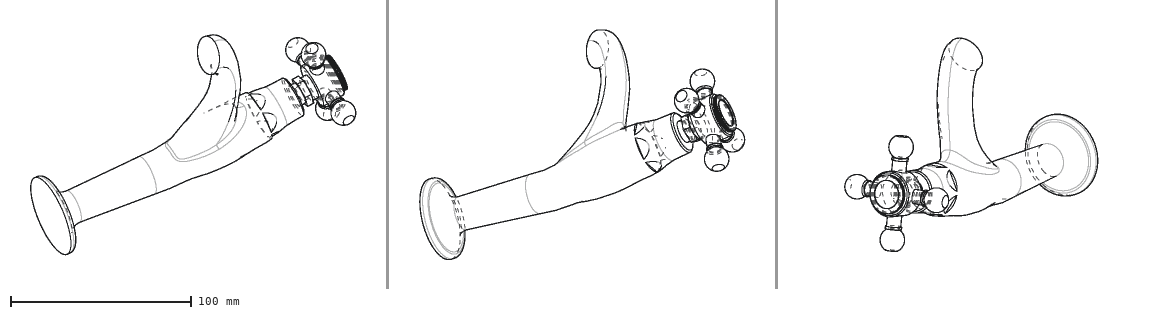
import cadquery as cq
import math

BEND_Y = 72.1
TILT = 10.0

FLANGE_R = 23.1
FLANGE_EDGE = 1.8
FLANGE_THICKNESS = 4.0
FLANGE_ROUND = 2.2
FLARE_R = 10.1
PIPE_START_R = 9.5
PIPE_END_R = 11.4
PIPE_END_Y = 60.5
PIPE_START_Y = FLANGE_THICKNESS + FLARE_R

BELLY = [(9.2, 12.5), (16.5, 14.0), (25.7, 15.2), (38.5, 15.8), (53.2, 15.2), (60.5, 14.7), (66.5, 13.2)]
BEND_R = 11.7
BONNET_START = 71.4
BONNET_END = 83.3
BONNET_START_R = 12.3
BONNET_END_R = 12.0
BONNET_ROUND = 1.0

FLATS_START = 60.5
FLATS_ACROSS = 26.5
FLATS_LIMIT_R = 22.0

SPINDLE_LOWER_R = 6.5
SPINDLE_UPPER_R = 7.2
SPINDLE_OVERLAP = 1.8
NUT_START = 87.0
NUT_THICKNESS = 4.0
NUT_ACROSS = 15.0

HUB_START = 94.9
HUB_R = 12.7
HUB_CHAMFER = 0.7
HANDLE_END = 111.2
RIM_COUNT = 2
RIM_PITCH = 1.3
RIM_R = 10.8
GROOVE_R = 10.1
GROOVE_WIDTH = 0.5
RECESS_R = 7.9
RECESS_DEPTH = 0.5
HUB_SHOULDER = HANDLE_END - RIM_COUNT * RIM_PITCH

ARM_COUNT = 4
ARM_POSITION = 100.4
ARM_R = 4.0
COLLAR_START = 18.5
COLLAR_END = 20.0
COLLAR_R = 4.5
NECK_R = 3.1
BALL_CENTER = 26.0
BALL_R = 6.88
ARM_REACH = 32.03

SPOUT_HALF_WIDTH = 10.8
THROAT_R = 44.0
THROAT_Y = 60.2
THROAT_Z = 55.0
SPOUT_ROOT_FILLET = 5.5
ROOT_LOW = (-16.5, 73.5, 9.2)
ROOT_HIGH = (16.5, 121.1, 29.4)


def revolved(profile):
    return profile.close().revolve(360, (0, 0), (0, 1))


def hexagon(start, length, across, turn):
    corner_diameter = across / math.cos(math.pi / 6)
    plane = cq.Workplane("XZ", origin=(0, start, 0))
    prism = plane.polygon(6, corner_diameter).extrude(-length)
    return prism.rotate((0, 0, 0), (0, 1, 0), turn)


def make_pipe():
    diagonal = FLARE_R * math.sqrt(0.5)
    flare_top_r = PIPE_START_R + FLARE_R
    round_mid = FLANGE_ROUND * (1 - math.sqrt(0.5))
    profile = (
        cq.Workplane("XY")
        .lineTo(FLANGE_R, 0)
        .lineTo(FLANGE_R, FLANGE_EDGE)
        .threePointArc(
            (FLANGE_R - round_mid, FLANGE_THICKNESS - round_mid),
            (FLANGE_R - FLANGE_ROUND, FLANGE_THICKNESS),
        )
        .lineTo(flare_top_r, FLANGE_THICKNESS)
        .threePointArc(
            (flare_top_r - diagonal, PIPE_START_Y - diagonal),
            (PIPE_START_R, PIPE_START_Y),
        )
        .lineTo(PIPE_END_R, PIPE_END_Y)
        .lineTo(0, PIPE_END_Y)
    )
    return revolved(profile)


def circle_wire(center_y, center_z, radius, tilt):
    turn = math.radians(tilt)
    plane = cq.Plane(
        origin=(0, center_y, center_z),
        xDir=(0, math.sin(turn), -math.cos(turn)),
        normal=(0, math.cos(turn), math.sin(turn)),
    )
    return cq.Workplane(plane).circle(radius).wires().val()


def make_belly():
    turn = math.radians(TILT)
    wires = [
        circle_wire(PIPE_END_Y, 0, PIPE_END_R, 0),
        circle_wire((PIPE_END_Y + BEND_Y) / 2, 0, (PIPE_END_R + BEND_R) / 2, 0),
        circle_wire(BEND_Y, 0, BEND_R, TILT / 2),
    ]
    for distance, radius in BELLY + [(BONNET_START, BONNET_START_R)]:
        center_y = BEND_Y + distance * math.cos(turn)
        center_z = distance * math.sin(turn)
        wires.append(circle_wire(center_y, center_z, radius, TILT))
    return cq.Workplane(cq.Solid.makeLoft(wires))


def make_flats_waste():
    length = BONNET_START - FLATS_START
    plane = cq.Workplane("XZ", origin=(0, FLATS_START, 0))
    waste = plane.circle(FLATS_LIMIT_R).extrude(-length)
    return waste.cut(hexagon(FLATS_START, length, FLATS_ACROSS, 0))


def make_bonnet():
    profile = (
        cq.Workplane("XY")
        .moveTo(0, BONNET_START)
        .lineTo(BONNET_START_R, BONNET_START)
        .lineTo(BONNET_END_R, BONNET_END - BONNET_ROUND)
        .lineTo(BONNET_END_R - BONNET_ROUND, BONNET_END)
        .lineTo(0, BONNET_END)
    )
    return revolved(profile)


def make_spindle():
    spindle_start = BONNET_END - SPINDLE_OVERLAP
    profile = (
        cq.Workplane("XY")
        .moveTo(0, spindle_start)
        .lineTo(SPINDLE_LOWER_R, spindle_start)
        .lineTo(SPINDLE_LOWER_R, NUT_START)
        .lineTo(SPINDLE_UPPER_R, NUT_START)
        .lineTo(SPINDLE_UPPER_R, HUB_START)
        .lineTo(0, HUB_START)
    )
    return revolved(profile).union(hexagon(NUT_START, NUT_THICKNESS, NUT_ACROSS, 30))


def make_hub():
    profile = (
        cq.Workplane("XY")
        .moveTo(0, HUB_START)
        .lineTo(HUB_R, HUB_START)
        .lineTo(HUB_R, HUB_SHOULDER - HUB_CHAMFER)
        .lineTo(HUB_R - HUB_CHAMFER, HUB_SHOULDER)
    )
    for ring in range(RIM_COUNT):
        ring_end = HANDLE_END - (RIM_COUNT - 1 - ring) * RIM_PITCH
        groove_end = ring_end - RIM_PITCH + GROOVE_WIDTH
        profile = (
            profile.lineTo(GROOVE_R, groove_end - GROOVE_WIDTH)
            .lineTo(GROOVE_R, groove_end)
            .lineTo(RIM_R, groove_end)
            .lineTo(RIM_R, ring_end)
        )
    profile = (
        profile.lineTo(RECESS_R, HANDLE_END)
        .lineTo(RECESS_R, HANDLE_END - RECESS_DEPTH)
        .lineTo(0, HANDLE_END - RECESS_DEPTH)
    )
    return revolved(profile)


def make_arm():
    neck_end = BALL_CENTER - math.sqrt(BALL_R**2 - NECK_R**2)
    flat_r = math.sqrt(BALL_R**2 - (ARM_REACH - BALL_CENTER) ** 2)
    profile = (
        cq.Workplane("XY")
        .lineTo(ARM_R, 0)
        .lineTo(ARM_R, COLLAR_START)
        .lineTo(COLLAR_R, COLLAR_START)
        .lineTo(COLLAR_R, COLLAR_END)
        .lineTo(NECK_R, COLLAR_END)
        .lineTo(NECK_R, neck_end)
        .threePointArc((BALL_R, BALL_CENTER), (flat_r, ARM_REACH))
        .lineTo(0, ARM_REACH)
    )
    return revolved(profile).rotate((0, 0, 0), (0, 0, 1), -90)


def make_handle():
    handle = make_hub()
    for index in range(ARM_COUNT):
        arm = make_arm().rotate((0, 0, 0), (0, 1, 0), index * 360 / ARM_COUNT)
        handle = handle.union(arm.translate((0, ARM_POSITION, 0)))
    return handle


def throat(angle):
    """Point on the front arc of the spout, measured down from horizontal."""
    turn = math.radians(angle)
    return (THROAT_Y + THROAT_R * math.cos(turn), THROAT_Z - THROAT_R * math.sin(turn))


def make_spout():
    sections = [
        ((118.4, 5.5), throat(88), 7.2),
        ((116.7, 20.2), throat(62), 12.1),
        ((116.2, 32.1), throat(40), 11.7),
        ((117.1, 43.1), throat(20), 11.0),
        ((118.2, 56.9), throat(0), SPOUT_HALF_WIDTH),
        ((116.7, 70.7), (103.9, 61.5), SPOUT_HALF_WIDTH),
        ((112.0, 85.5), (102.5, 66.8), SPOUT_HALF_WIDTH),
        ((103.5, 91.0), (96.2, 70.9), SPOUT_HALF_WIDTH),
    ]
    wires = []
    for back, front, half_width in sections:
        depth_y = front[0] - back[0]
        depth_z = front[1] - back[1]
        middle = ((back[0] + front[0]) / 2, (back[1] + front[1]) / 2)
        plane = cq.Plane(
            origin=(0, *middle),
            xDir=(1, 0, 0),
            normal=(0, depth_z, -depth_y),
        )
        half_depth = math.hypot(depth_y, depth_z) / 2
        wires.append(cq.Workplane(plane).ellipse(half_width, half_depth).wires().val())
    return cq.Workplane(cq.Solid.makeLoft(wires))


def place_on_tilted_axis(shape):
    return shape.rotate((0, 0, 0), (1, 0, 0), TILT).translate((0, BEND_Y, 0))


belly = make_belly().cut(place_on_tilted_axis(make_flats_waste()))
fittings = place_on_tilted_axis(make_bonnet().union(make_spindle()).union(make_handle()))
trunk = belly.union(make_pipe()).union(fittings)
tap = trunk.union(make_spout())

root_edges = cq.selectors.BoxSelector(ROOT_LOW, ROOT_HIGH, boundingbox=True)
result = tap.edges(root_edges).fillet(SPOUT_ROOT_FILLET)